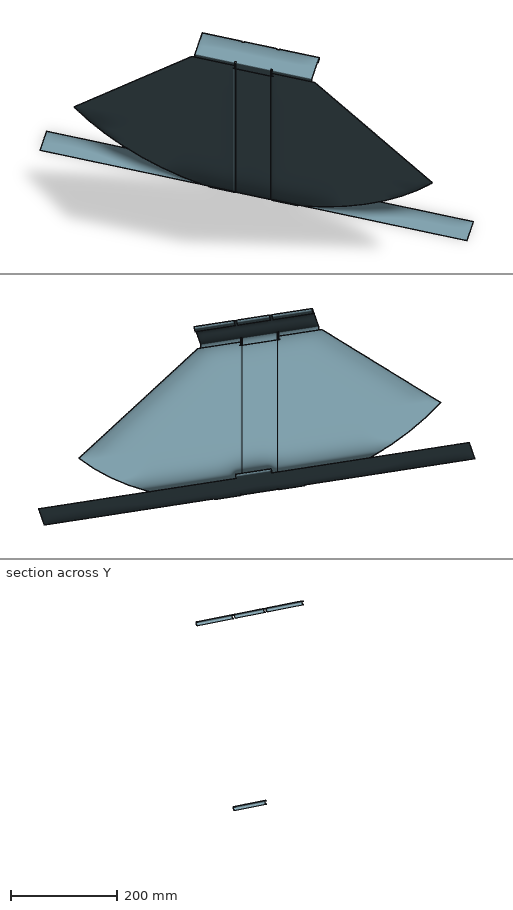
import cadquery as cq
import math

height = 395.0
depth = 57.0
sheet = 0.7
bend_radius = 2.1

fan_top_half = 120.0
fan_half = 350.0
fan_top = 387.0
fan_bottom = 2.5
fan_radius = 454.5
fan_corner = fan_top - (fan_half - fan_top_half)

bead_half = 39.0
bead_slope = 2.5
bead_top = 379.0
notch_half = 37.0

strap_half = 34.0
top_wall_half = 114.0
bottom_wall_half = 417.0
bottom_wall_back = 50.0
bottom_tab_half = 88.0
hook_radius = 3.7
hook_lip = 6.0
hook_slit_inner = 32.0
hook_slit_outer = 37.0
front_slit_end = 4.0

plate_front = sheet
plate_back = plate_front + sheet
wall_start = plate_front + bend_radius

hook_start = depth - hook_radius
lip_end = hook_start - hook_lip
curl_z = height - hook_radius


def box_between(x0, x1, y0, y1, z0, z1):
    """Axis-aligned block between two opposite corners."""
    return cq.Workplane("XY").box(x1 - x0, y1 - y0, z1 - z0, centered=False).translate((x0, y0, z0))


def fan_outline():
    """Fan outline with a bottom arc flattened at its lowest stretch."""
    arc_center = fan_corner + math.sqrt(fan_radius**2 - fan_half**2)
    flat_half = math.sqrt(fan_radius**2 - (arc_center - fan_bottom) ** 2)
    middle_angle = (math.asin(fan_half / fan_radius) + math.asin(flat_half / fan_radius)) / 2
    middle_x = fan_radius * math.sin(middle_angle)
    middle_z = arc_center - fan_radius * math.cos(middle_angle)
    return (
        cq.Workplane("XZ", origin=(0, plate_front, 0))
        .moveTo(-fan_top_half, fan_top)
        .lineTo(fan_top_half, fan_top)
        .lineTo(fan_half, fan_corner)
        .threePointArc((middle_x, middle_z), (flat_half, fan_bottom))
        .lineTo(-flat_half, fan_bottom)
        .threePointArc((-middle_x, middle_z), (-fan_half, fan_corner))
        .close()
    )


def make_fan():
    """Flat fan with a hollow bead up its middle and a notch above the bead."""
    plate = fan_outline().extrude(-sheet)
    bead_opening = box_between(-bead_half, bead_half, 0, depth, 0, bead_top)
    notch = box_between(-notch_half, notch_half, 0, depth, bead_top, height)
    bead = (
        cq.Workplane("XY", origin=(0, 0, fan_bottom))
        .moveTo(-bead_half, plate_back)
        .lineTo(-bead_half, plate_front)
        .lineTo(bead_slope - bead_half, 0)
        .lineTo(bead_half - bead_slope, 0)
        .lineTo(bead_half, plate_front)
        .lineTo(bead_half, plate_back)
        .lineTo(bead_half - bead_slope, plate_front)
        .lineTo(bead_slope - bead_half, plate_front)
        .close()
        .extrude(bead_top - fan_bottom)
    )
    return plate.cut(bead_opening).cut(notch).union(bead)


def bent_front(half_width, drop):
    """Upright sheet reaching the given drop below the top, bent into the start of the top wall."""
    bend_z = height - bend_radius
    inner_radius = bend_radius - sheet
    outer_corner = bend_radius * math.sqrt(0.5)
    inner_corner = inner_radius * math.sqrt(0.5)
    return (
        cq.Workplane("YZ", origin=(-half_width, 0, 0))
        .moveTo(plate_front, height - drop)
        .lineTo(plate_front, bend_z)
        .threePointArc((wall_start - outer_corner, bend_z + outer_corner), (wall_start, height))
        .lineTo(wall_start, height - sheet)
        .threePointArc((wall_start - inner_corner, bend_z + inner_corner), (plate_back, bend_z))
        .lineTo(plate_back, height - drop)
        .close()
        .extrude(2 * half_width)
    )


def hooked_wall(half_width):
    """Wall at the top level whose rear edge curls down into a lip."""
    inner_radius = hook_radius - sheet
    return (
        cq.Workplane("YZ", origin=(-half_width, 0, 0))
        .moveTo(wall_start, height)
        .lineTo(hook_start, height)
        .threePointArc((depth, curl_z), (hook_start, curl_z - hook_radius))
        .lineTo(lip_end, curl_z - hook_radius)
        .lineTo(lip_end, curl_z - inner_radius)
        .lineTo(hook_start, curl_z - inner_radius)
        .threePointArc((depth - sheet, curl_z), (hook_start, height - sheet))
        .lineTo(wall_start, height - sheet)
        .close()
        .extrude(2 * half_width)
    )


def hook_slits():
    """Slits that divide the curl and lip of the top wall in three."""
    hook_bottom = curl_z - hook_radius

    def band(half_width):
        curl = box_between(-half_width, half_width, hook_start, depth, hook_bottom, height)
        lip = box_between(-half_width, half_width, lip_end, depth, hook_bottom, curl_z)
        return curl.union(lip)

    return band(hook_slit_outer).cut(band(hook_slit_inner))


def strap_slits():
    """Slits on both sides of the strap, through the front of a wall."""
    wide = box_between(-notch_half, notch_half, 0, front_slit_end, 0, height)
    return wide.cut(box_between(-strap_half, strap_half, 0, front_slit_end, 0, height))


def mirrored_down(shape):
    """Copy of a top feature at the bottom of the part."""
    return shape.mirror("XY", (0, 0, height / 2))


def bottom_strip():
    """Long flat bottom wall with a forward tab that has 45-degree ends."""
    tab_depth = wall_start - plate_front
    tab_front_half = bottom_tab_half - tab_depth
    return (
        cq.Workplane("XY")
        .moveTo(-bottom_wall_half, wall_start)
        .lineTo(-bottom_tab_half, wall_start)
        .lineTo(-tab_front_half, plate_front)
        .lineTo(tab_front_half, plate_front)
        .lineTo(bottom_tab_half, wall_start)
        .lineTo(bottom_wall_half, wall_start)
        .lineTo(bottom_wall_half, bottom_wall_back)
        .lineTo(-bottom_wall_half, bottom_wall_back)
        .close()
        .extrude(sheet)
        .cut(box_between(-strap_half, strap_half, 0, wall_start, 0, sheet))
    )


def make_bracket():
    """Strap that joins the hooked top wall to the long bottom wall."""
    top_lip_height = height - fan_top
    strap = bent_front(strap_half, height / 2)
    top = hooked_wall(top_wall_half).cut(hook_slits()).union(bent_front(top_wall_half, top_lip_height))
    bottom = mirrored_down(hooked_wall(strap_half)).union(bottom_strip())
    walls = top.union(bottom).cut(strap_slits())
    return walls.union(strap).union(mirrored_down(strap)).clean()


fan = make_fan()
bracket = make_bracket()

result = cq.Compound.makeCompound([*fan.solids().vals(), *bracket.solids().vals()])